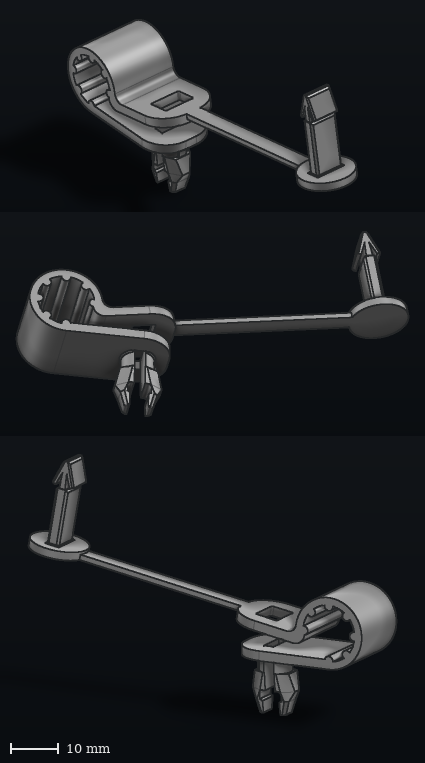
import cadquery as cq
import math

BODY_WIDTH = 15.85
RING_OUTER_R = 7.8
RING_INNER_R = 6.05
RIB_R = 1.0
RIB_CENTRE_R = 5.9
RIB_STEP = 45
RIB_COUNT = 7
CORNER_R = 6.5

LEAF_THICKNESS = 2.1
LEAF_END_X = 23.05

STUD_X = 16.5
STUD_R = 3.5
SLOT_WIDTH = 2.3
SLOT_START_X = STUD_X - SLOT_WIDTH / 2
SLOT_END_X = STUD_X + SLOT_WIDTH / 2
SLOT_LENGTH = 6.7
STUD_ROOT_FLARE = 0.3
HEAD_TOP_Z = -11.5
HEAD_WIDEST_Z = -15.45
HEAD_BEND_Z = -17.5
STUD_BOTTOM_Z = -20.7
HEAD_TOP = (4.0, 2.0, 1.55, 3.1)
HEAD_WIDEST = (5.0, 1.0, 2.4, 2.7)
HEAD_BEND = (3.9, 1.6, 3.2, 2.45)
STUD_BOTTOM = (3.0, 1.3, 2.4, 1.9)
NIB_REACH = 3.8
NIB_WIDTH = 2.0
NIB_HEIGHT = 1.55
TIP_RECESS = 2.5
TIP_RECESS_R = 0.7
TIP_INNER = 2.0
TIP_EDGE_FILLET = 0.3

ARM_ANGLE = 10
ARM_TOP_W = -2.3
ARM_BOTTOM_W = ARM_TOP_W - LEAF_THICKNESS
ARM_END_U = 23.9
BEND_INNER_R = 2.0
BEND_OUTER_R = 2.3
BEND_OUTER_U = 7.8
WINDOW_START_U = 14.2
WINDOW_LENGTH = 5.1
WINDOW_WIDTH = 7.5
WINDOW_CORNER_R = 0.4

STRAP_WIDTH = 3.75
STRAP_THICKNESS = 1.2
DISC_R = 12.7 / 2
DISC_U = 68.15
DISC_BOTTOM_W = -3.5
DISC_TOP_W = -1.6
POST_LENGTH = 2.8
POST_WIDTH = 6.7
POST_TOP_W = 10.9
POST_CHAMFER = 0.5
POST_ROOT_FLARE = 0.25
DART_WIDTH = 6.3
NECK_HALF = 0.695
NECK_TOP_HALF = 0.5
CROTCH_W = 14.3
BARB_TIP_HALF = 2.5
BARB_TIP_W = 11.8
BARB_INNER_HALF = 1.7
BARB_INNER_W = 11.35
BARB_CHAMFER = 0.3
NOSE_HALF = 0.8
NOSE_FLAT_HALF = 0.3
NOSE_SHOULDER_W = 16.5
NOSE_TOP_W = 17.0


def extrude_xz(sketch, width):
    """Extrude an XZ sketch evenly to both sides of Y = 0."""
    return sketch.extrude(width / 2, both=True)


def polar(radius, degrees, centre=(0, 0)):
    angle = math.radians(degrees)
    return centre[0] + radius * math.cos(angle), centre[1] + radius * math.sin(angle)


def to_xz(u, w):
    """X and Z of a point given along and square to the raised arm."""
    angle = math.radians(ARM_ANGLE)
    return u * math.cos(angle) - w * math.sin(angle), u * math.sin(angle) + w * math.cos(angle)


def tilt(solid):
    """Turn a solid built flat up to the arm angle about the ring axis."""
    return solid.rotate((0, 0, 0), (0, 1, 0), -ARM_ANGLE)


def flat_box(x_start, x_end, width, z_bottom, z_top):
    box = cq.Workplane("XY").box(x_end - x_start, width, z_top - z_bottom, centered=(False, True, False))
    return box.translate((x_start, 0, z_bottom))


def rounded_leaf(x_start, x_end, z_bottom):
    leaf = flat_box(x_start, x_end, BODY_WIDTH, z_bottom, z_bottom + LEAF_THICKNESS)
    return leaf.edges("|Z and >X").fillet(CORNER_R)


def make_ring(neck_angle):
    """Open ring from its underside round to the arm bend, with grip ribs inside."""
    middle_angle = (neck_angle + 270) / 2
    wall = (
        cq.Workplane("XZ")
        .moveTo(*polar(RING_OUTER_R, 270))
        .threePointArc(polar(RING_OUTER_R, middle_angle), polar(RING_OUTER_R, neck_angle))
        .lineTo(*polar(RING_INNER_R, neck_angle))
        .threePointArc(polar(RING_INNER_R, middle_angle), polar(RING_INNER_R, 270))
        .close()
    )
    ring = extrude_xz(wall, BODY_WIDTH)
    rib_centres = [polar(RIB_CENTRE_R, RIB_STEP * i) for i in range(RIB_COUNT)]
    ribs = extrude_xz(cq.Workplane("XZ").pushPoints(rib_centres).circle(RIB_R), BODY_WIDTH)
    return ring.union(ribs)


def make_bend(inner_u, neck_angle):
    """Thickened bend that joins the ring to the arm."""
    inner_centre = to_xz(inner_u, ARM_TOP_W + BEND_INNER_R)
    inner_start = 180 + neck_angle
    inner_end = 270 + ARM_ANGLE
    outer_centre = to_xz(BEND_OUTER_U, ARM_BOTTOM_W + BEND_OUTER_R)
    outer_end = 180
    wall = (
        cq.Workplane("XZ")
        .moveTo(*polar(BEND_INNER_R, inner_start, inner_centre))
        .threePointArc(
            polar(BEND_INNER_R, (inner_start + inner_end) / 2, inner_centre),
            polar(BEND_INNER_R, inner_end, inner_centre),
        )
        .lineTo(*to_xz(inner_u, ARM_BOTTOM_W))
        .lineTo(*to_xz(BEND_OUTER_U, ARM_BOTTOM_W))
        .threePointArc(
            polar(BEND_OUTER_R, (inner_end + outer_end) / 2, outer_centre),
            polar(BEND_OUTER_R, outer_end, outer_centre),
        )
        .lineTo(*polar(RING_INNER_R, neck_angle))
        .close()
    )
    return extrude_xz(wall, BODY_WIDTH)


def head_section(z, outer, outer_half, shoulder, shoulder_half):
    """Six-sided section of the -X stud leg, symmetric about Y = 0."""
    profile = [(SLOT_WIDTH / 2, shoulder_half), (shoulder, shoulder_half), (outer, outer_half)]
    corners = [(STUD_X - reach, half) for reach, half in profile]
    corners += [(x, -half) for x, half in reversed(corners)]
    return cq.Wire.makePolygon([cq.Vector(x, y, z) for x, y in corners], close=True)


def make_stud_leg():
    """The -X half of the snap stud: half-round neck, flared head and thin tip."""
    underside = -RING_OUTER_R
    neck = cq.Workplane("XY").circle(STUD_R).extrude(underside - HEAD_TOP_Z)
    neck = neck.translate((STUD_X, 0, HEAD_TOP_Z))
    root = cq.Workplane("XY").circle(STUD_R + STUD_ROOT_FLARE).workplane(offset=-STUD_ROOT_FLARE)
    root = root.circle(STUD_R).loft().translate((STUD_X, 0, underside))
    keep = flat_box(STUD_X - 2 * STUD_R, SLOT_START_X, SLOT_LENGTH, HEAD_TOP_Z, underside)
    leg = neck.union(root).intersect(keep)

    sections = [
        head_section(HEAD_TOP_Z, *HEAD_TOP),
        head_section(HEAD_WIDEST_Z, *HEAD_WIDEST),
        head_section(HEAD_BEND_Z, *HEAD_BEND),
        head_section(STUD_BOTTOM_Z, *STUD_BOTTOM),
    ]
    for upper, lower in zip(sections, sections[1:]):
        leg = leg.union(cq.Workplane(cq.Solid.makeLoft([upper, lower], True)))

    recess_x = STUD_X - TIP_RECESS
    tip_x = STUD_X - TIP_INNER
    recess = (
        cq.Workplane("XZ")
        .moveTo(SLOT_START_X, HEAD_WIDEST_Z)
        .lineTo(recess_x + TIP_RECESS_R, HEAD_WIDEST_Z)
        .radiusArc((recess_x, HEAD_WIDEST_Z - TIP_RECESS_R), -TIP_RECESS_R)
        .lineTo(recess_x, HEAD_BEND_Z)
        .lineTo(tip_x, HEAD_BEND_Z - TIP_RECESS_R / 2)
        .lineTo(tip_x, STUD_BOTTOM_Z)
        .lineTo(SLOT_START_X, STUD_BOTTOM_Z)
        .close()
    )
    leg = leg.cut(extrude_xz(recess, BODY_WIDTH))
    return leg.faces("<Z").edges().fillet(TIP_EDGE_FILLET)


def make_dart():
    """Post with a two-barbed arrow head, standing on the disc (upright, before tilting)."""
    post = flat_box(DISC_U - POST_LENGTH / 2, DISC_U + POST_LENGTH / 2, POST_WIDTH, DISC_TOP_W, POST_TOP_W)
    post = post.edges("|Z").chamfer(POST_CHAMFER)
    post = post.faces(">Z").edges("<X or >X").chamfer(POST_CHAMFER)

    root = cq.Workplane("XY").rect(POST_LENGTH + 2 * POST_ROOT_FLARE, POST_WIDTH + 2 * POST_ROOT_FLARE)
    root = root.extrude(POST_ROOT_FLARE, taper=45).translate((DISC_U, 0, DISC_TOP_W))

    right_side = [
        (NECK_HALF, POST_TOP_W),
        (NECK_TOP_HALF, CROTCH_W),
        (BARB_INNER_HALF, BARB_INNER_W),
        (BARB_TIP_HALF, BARB_TIP_W),
        (NOSE_HALF, NOSE_SHOULDER_W),
        (NOSE_FLAT_HALF, NOSE_TOP_W),
    ]
    outline = [(DISC_U + half, w) for half, w in right_side]
    outline += [(DISC_U - half, w) for half, w in reversed(right_side)]
    head = extrude_xz(cq.Workplane("XZ").polyline(outline).close(), DART_WIDTH)
    for side in (1, -1):
        barb_direction = cq.Vector(side * (NOSE_HALF - BARB_TIP_HALF), 0, NOSE_SHOULDER_W - BARB_TIP_W)
        head = head.edges(cq.selectors.ParallelDirSelector(barb_direction)).chamfer(BARB_CHAMFER)
    return post.union(root).union(head)


bend_reach = RING_OUTER_R + BEND_INNER_R
bend_w = ARM_TOP_W + BEND_INNER_R
bend_u = math.sqrt(bend_reach**2 - bend_w**2)
neck_angle = ARM_ANGLE + math.degrees(math.atan2(bend_w, bend_u))

leaf_bottom_z = -RING_OUTER_R
leaf_top_z = leaf_bottom_z + LEAF_THICKNESS
lower_leaf = rounded_leaf(0, LEAF_END_X, leaf_bottom_z)
stud_slot = flat_box(SLOT_START_X, SLOT_END_X, SLOT_LENGTH, leaf_bottom_z, leaf_top_z)
stud_leg = make_stud_leg()
opposite_leg = stud_leg.rotate((STUD_X, 0, 0), (STUD_X, 0, 1), 180)
stud_nib = flat_box(SLOT_END_X, STUD_X + NIB_REACH, NIB_WIDTH, HEAD_TOP_Z, HEAD_TOP_Z + NIB_HEIGHT)

arm = rounded_leaf(bend_u, ARM_END_U, ARM_BOTTOM_W)
window_end_u = WINDOW_START_U + WINDOW_LENGTH
window = flat_box(WINDOW_START_U, window_end_u, WINDOW_WIDTH, ARM_BOTTOM_W, ARM_TOP_W)
arm = arm.cut(window.edges("|Z").fillet(WINDOW_CORNER_R))
strap = flat_box(ARM_END_U - LEAF_THICKNESS, DISC_U, STRAP_WIDTH, ARM_TOP_W - STRAP_THICKNESS, ARM_TOP_W)
disc = cq.Workplane("XY").circle(DISC_R).extrude(DISC_TOP_W - DISC_BOTTOM_W)
disc = disc.translate((DISC_U, 0, DISC_BOTTOM_W))
tie = arm.union(strap).union(disc).union(make_dart())

result = (
    make_ring(neck_angle)
    .union(make_bend(bend_u, neck_angle))
    .union(lower_leaf)
    .cut(stud_slot)
    .union(stud_leg)
    .union(opposite_leg)
    .union(stud_nib)
    .union(tilt(tie))
)